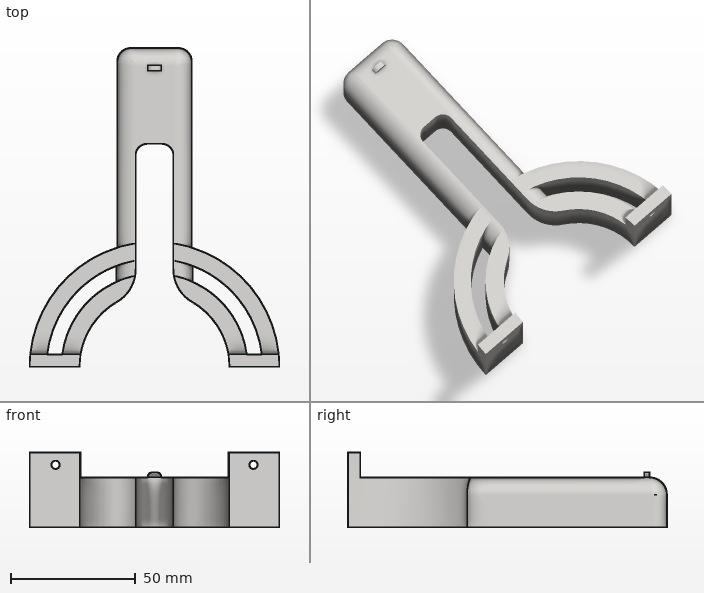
import cadquery as cq
import math

ring_outer_radius = 50.0
ring_inner_radius = 30.0
body_height = 20.0

slot_outer_radius = 43.2
slot_inner_radius = 37.3

tab_thickness = 5.0
tab_height = 10.0
tab_hole_diameter = 3.2
tab_hole_offset = 39.6

total_length = 127.7
handle_width = 30.0
handle_root_width = 30.8
handle_edge_radius = 7.0
handle_corner_radius = 5.7
handle_start = ring_inner_radius

channel_width = 15.0
channel_end = 89.2
channel_end_radius = 4.5
channel_blend_radius = 15.0

nub_width = 5.5
nub_height = 2.1
nub_thickness = 2.2
nub_shoulder_radius = 2.1
nub_root = 1.0


def half_disc(radius, height):
    """Half cylinder about Z, on the +Y side."""
    disc = cq.Workplane("XY").circle(radius).extrude(height)
    keep = cq.Workplane("XY").box(2 * radius, radius, height, centered=(True, False, False))
    return disc.intersect(keep)


def make_ring():
    """Half ring with a concentric slot that stops behind the tabs."""
    ring = half_disc(ring_outer_radius, body_height)
    slot = half_disc(slot_outer_radius, body_height).cut(half_disc(slot_inner_radius, body_height))
    tab_zone = cq.Workplane("XY").box(
        2 * ring_outer_radius, tab_thickness, body_height, centered=(True, False, False)
    )
    return ring.cut(slot.cut(tab_zone))


def rounded_bar(width, y_start, y_end):
    """Bar along Y with its top edges rounded on the sides and at the far end."""
    bar = cq.Workplane("XY", origin=(0, y_start, 0)).box(
        width, y_end - y_start, body_height, centered=(True, False, False)
    )
    return bar.faces(">Z").edges("|Y or >Y").fillet(handle_edge_radius)


def make_handle():
    """Handle bar with rounded far corners, plus its wider root inside the ring."""
    bar = rounded_bar(handle_width, handle_start, total_length)
    bar = bar.faces(">Y").edges("|Z").fillet(handle_corner_radius)
    root = rounded_bar(handle_root_width, handle_start, total_length)
    root = root.intersect(half_disc(slot_outer_radius, body_height))
    return bar.union(root)


def make_opening():
    """Ring bore blended into the channel that splits the handle."""
    half_channel = channel_width / 2
    blend_x = half_channel + channel_blend_radius
    blend_reach = ring_inner_radius + channel_blend_radius
    blend_y = math.sqrt(blend_reach**2 - blend_x**2)
    bore_share = ring_inner_radius / blend_reach
    tangent_x = blend_x * bore_share
    tangent_y = blend_y * bore_share
    mid_angle = math.pi + math.atan2(blend_y, blend_x) / 2
    mid_x = blend_x + channel_blend_radius * math.cos(mid_angle)
    mid_y = blend_y + channel_blend_radius * math.sin(mid_angle)

    throat = (
        cq.Workplane("XY")
        .moveTo(half_channel, blend_y)
        .threePointArc((mid_x, mid_y), (tangent_x, tangent_y))
        .lineTo(-tangent_x, tangent_y)
        .threePointArc((-mid_x, mid_y), (-half_channel, blend_y))
        .close()
        .extrude(body_height)
    )
    channel = (
        cq.Workplane("XY")
        .box(channel_width, channel_end, body_height, centered=(True, False, False))
        .edges("|Z and >Y")
        .fillet(channel_end_radius)
    )
    bore = cq.Workplane("XY").circle(ring_inner_radius).extrude(body_height + tab_height)
    return bore.union(throat).union(channel)


def make_tabs():
    """Upright tabs that follow the ring ends, each with a cross hole."""
    tabs = half_disc(ring_outer_radius, body_height + tab_height)
    slab = cq.Workplane("XY").box(
        2 * ring_outer_radius, tab_thickness, body_height + tab_height, centered=(True, False, False)
    )
    holes = (
        cq.Workplane("XZ", origin=(0, 0, body_height + tab_height / 2))
        .pushPoints([(-tab_hole_offset, 0), (tab_hole_offset, 0)])
        .circle(tab_hole_diameter / 2)
        .extrude(-tab_thickness)
    )
    return tabs.intersect(slab).cut(holes)


def make_nub():
    """Small nub with rounded shoulders at the far end of the flat top."""
    nub_front = total_length - handle_edge_radius - nub_thickness
    nub = cq.Workplane("XY", origin=(0, nub_front, body_height - nub_root)).box(
        nub_width, nub_thickness, nub_root + nub_height, centered=(True, False, False)
    )
    return nub.faces(">Z").edges("|Y").fillet(nub_shoulder_radius)


result = make_ring().union(make_handle()).union(make_tabs()).cut(make_opening()).union(make_nub())